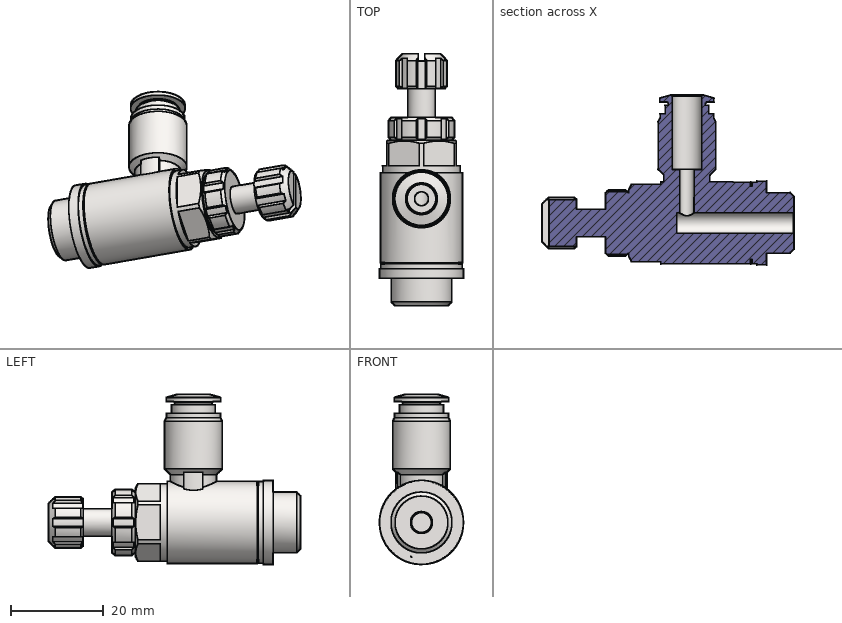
import cadquery as cq
import math


total_length = 54.4
spigot_length = 5.95
spigot_radius = 13.15 / 2
spigot_chamfer = 0.85
flange_radius = 18.15 / 2
flange_end = 8.05
ring_radius = 17.7 / 2
ring_end = 9.1
gap_radius = 15.9 / 2
gap_end = 9.35
body_radius = 17.8 / 2
body_end = 28.8
collar_radius = 16.8 / 2
collar_end = 30.25

hex_across_flats = 15.0
hex_end = 35.7
hex_chamfer_length = 0.6
hex_end_radius = 7.3

groove_count = 8
groove_floor_width = 1.65
groove_top_width = 2.55
cutter_margin = 0.25
nut_end = 40.7
nut_radius = 7.25
nut_groove_radius = 6.8
nut_chamfer = 0.7
stem_radius = 6.0 / 2
knob_start = 46.9
knob_radius = 5.65
knob_groove_radius = 5.1
knob_front_chamfer = 0.55
knob_rear_chamfer = 1.5
slot_width = 1.35
slot_depth = 1.5

port_y = 23.1
neck_radius = 10.05 / 2
neck_top = 10.35
sleeve_radius = 12.5 / 2
sleeve_bottom = 11.55
sleeve_top = 21.8
cap_radius = 11.7 / 2
cap_bottom = 22.65
cap_top = 23.6
release_radius = 9.5 / 2
release_top = 25.4
undercut_radius = 8.1 / 2
undercut_top = 25.8
disc_root_radius = 4.3
disc_bottom = 26.05
disc_radius = 11.8 / 2
disc_rim_chamfer = 0.15
disc_rim_top = 27.05
port_top = 27.7
lug_radius = 5.55
lug_width = 4.15

port_bore_radius = 6.2 / 2
port_bore_chamfer = 0.3
port_bore_floor = 11.55
port_mouth_radius = port_bore_radius + port_bore_chamfer
port_hole_radius = 3.0 / 2
main_bore_radius = 4.3 / 2
main_bore_chamfer = 0.2
main_bore_depth = port_y + main_bore_radius


def turn_about_y(profile):
    """Solid of revolution about Y from (radius, y) points."""
    return cq.Workplane("XY").polyline(profile).close().revolve(360, (0, 0, 0), (0, 1, 0))


def turn_port(profile):
    """Solid of revolution about the port axis from (radius, z) points."""
    turned = cq.Workplane("XZ").polyline(profile).close().revolve(360, (0, 0, 0), (0, 1, 0))
    return turned.translate((0, port_y, 0))


def cylinder_y(radius, start, end):
    """Cylinder on the main axis between two Y stations."""
    return cq.Workplane("XZ", origin=(0, start, 0)).circle(radius).extrude(start - end)


def make_body():
    """Spigot, flange, ring, gap, body and collar in one turned profile."""
    return turn_about_y([
        (0, 0),
        (spigot_radius - spigot_chamfer, 0),
        (spigot_radius, spigot_chamfer),
        (spigot_radius, spigot_length),
        (flange_radius, spigot_length),
        (flange_radius, flange_end),
        (ring_radius, flange_end),
        (ring_radius, ring_end),
        (gap_radius, ring_end),
        (gap_radius, gap_end),
        (body_radius, gap_end),
        (body_radius, body_end),
        (collar_radius, body_end),
        (collar_radius, collar_end),
        (0, collar_end),
    ])


def make_hexagon():
    """Hexagon with corners up and down, trimmed by a cylinder chamfered at the rear."""
    across_corners = hex_across_flats / math.cos(math.pi / 6)
    prism = (
        cq.Workplane("XZ", origin=(0, collar_end, 0))
        .transformed(rotate=(0, 0, 90))
        .polygon(6, across_corners)
        .extrude(collar_end - hex_end)
    )
    envelope = turn_about_y([
        (0, collar_end),
        (collar_radius, collar_end),
        (collar_radius, hex_end - hex_chamfer_length),
        (hex_end_radius, hex_end),
        (0, hex_end),
    ])
    return prism.intersect(envelope)


def make_grip(radius, groove_radius, start, end, front_chamfer, rear_chamfer):
    """Chamfered disc with tapered grip grooves cut down to a round core."""
    blank = turn_about_y([
        (0, start),
        (radius - front_chamfer, start),
        (radius, start + front_chamfer),
        (radius, end - rear_chamfer),
        (radius - rear_chamfer, end),
        (0, end),
    ])
    wall_slope = (groove_top_width - groove_floor_width) / 2 / (radius - groove_radius)
    cutter_bottom = groove_radius - cutter_margin
    cutter_top = radius + cutter_margin
    bottom_half = groove_floor_width / 2 + wall_slope * (cutter_bottom - groove_radius)
    top_half = groove_floor_width / 2 + wall_slope * (cutter_top - groove_radius)
    cutter = (
        cq.Workplane("XZ", origin=(0, start, 0))
        .polyline([
            (-bottom_half, cutter_bottom),
            (bottom_half, cutter_bottom),
            (top_half, cutter_top),
            (-top_half, cutter_top),
        ])
        .close()
        .extrude(start - end)
        .cut(cylinder_y(groove_radius, start, end))
    )
    for index in range(groove_count):
        angle = index * 360 / groove_count
        blank = blank.cut(cutter.rotate((0, 0, 0), (0, 1, 0), angle))
    return blank


def make_knob():
    """Adjusting knob with a screwdriver slot along Z in its rear face."""
    knob = make_grip(
        knob_radius, knob_groove_radius, knob_start, total_length, knob_front_chamfer, knob_rear_chamfer
    )
    slot = cq.Workplane("XY").box(slot_width, 2 * slot_depth, 2 * knob_radius)
    return knob.cut(slot.translate((0, total_length, 0)))


def make_port():
    """Port neck, sleeve and release ring in one turned profile."""
    return turn_port([
        (0, 0),
        (neck_radius, 0),
        (neck_radius, neck_top),
        (sleeve_radius, sleeve_bottom),
        (sleeve_radius, sleeve_top),
        (cap_radius, cap_bottom),
        (cap_radius, cap_top),
        (release_radius, cap_top),
        (release_radius, release_top),
        (undercut_radius, release_top),
        (undercut_radius, undercut_top),
        (disc_root_radius, disc_bottom),
        (disc_radius, disc_bottom),
        (disc_radius, disc_rim_top - disc_rim_chamfer),
        (disc_radius - disc_rim_chamfer, disc_rim_top),
        (port_mouth_radius, port_top),
        (0, port_top),
    ])


def make_lugs():
    """Rounded lugs on the -X and +X sides of the port neck."""
    column = cq.Workplane("XY").circle(lug_radius).extrude(sleeve_bottom)
    slab = cq.Workplane("XY").rect(2 * lug_radius, lug_width).extrude(sleeve_bottom)
    return column.intersect(slab).translate((0, port_y, 0))


def make_port_bore():
    """Stepped tube bore with a chamfered mouth, reaching down to the main axis."""
    return turn_port([
        (0, 0),
        (port_hole_radius, 0),
        (port_hole_radius, port_bore_floor),
        (port_bore_radius, port_bore_floor),
        (port_bore_radius, port_top - port_bore_chamfer),
        (port_mouth_radius, port_top),
        (0, port_top),
    ])


def make_main_bore():
    """Blind bore from the front face with a chamfered mouth."""
    return turn_about_y([
        (0, 0),
        (main_bore_radius + main_bore_chamfer, 0),
        (main_bore_radius, main_bore_chamfer),
        (main_bore_radius, main_bore_depth),
        (0, main_bore_depth),
    ])


nut = make_grip(nut_radius, nut_groove_radius, hex_end, nut_end, nut_chamfer, nut_chamfer)
stem = cylinder_y(stem_radius, nut_end, knob_start)

result = (
    make_body()
    .union(make_hexagon())
    .union(nut)
    .union(stem)
    .union(make_knob())
    .union(make_port())
    .union(make_lugs())
    .cut(make_port_bore())
    .cut(make_main_bore())
)